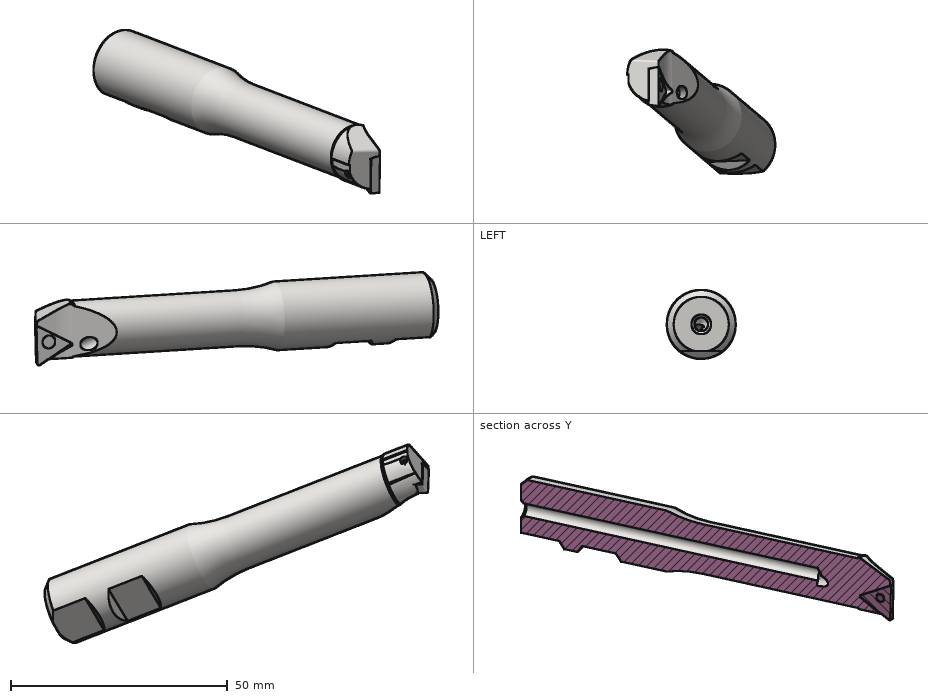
import cadquery as cq
import math

LENGTH = 95.0

SHANK_RADIUS = 8.0
SHANK_END = 37.3
SHANK_CHAMFER = 1.6
NECK_DIAMETER = 13.0
NECK_RADIUS = NECK_DIAMETER / 2
NECK_START = 46.55
NECK_END = 86.3
HEAD_RADIUS = 6.7
HEAD_START = 86.8

FLAT_HEIGHT = -6.2
FLAT_RAMP = 1.3
REAR_FLAT_END = 9.8
FRONT_FLAT_START = 15.8
FRONT_FLAT_END = 24.3

BORE_DIAMETER = 3.1
BORE_RADIUS = BORE_DIAMETER / 2
BORE_MOUTH_RADIUS = 2.3
BORE_DEPTH = 76.0
DRILL_POINT_ANGLE = 118.0
OUTLET_RADIUS = 1.5
OUTLET_START = cq.Vector(BORE_DEPTH, 0.4, -1.4)
OUTLET_DIRECTION = cq.Vector(1.0, 0.5, -0.2)
OUTLET_LENGTH = 19.0

RAKE_Y = 1.0
INSERT_THICKNESS = 2.4
INSCRIBED_DIAMETER = 5.6
INSERT_INRADIUS = INSCRIBED_DIAMETER / 2
NOSE_RADIUS = 0.4
INSERT_TILT = 1.5
INSERT_CLEARANCE = 7.0
POCKET_END_WIDTH = 0.8

GULLET_START = 77.3
GULLET_RUN_END = (HEAD_START, 2.6)
GULLET_ARC_MIDDLE = (88.3, 1.9)
GULLET_FLOOR_START = (90.25, 1.4)

HEAD_END = 94.9
HEAD_END_ANGLE = 13.0
TOP_SLOPE_ANGLE = 28.0
TOP_EDGE_ROUND = 0.8
SIDE_FLAT_Y = -6.5

RELIEF_RISE = 0.3
RELIEF_TURN = 3.0
RELIEF_BOTTOM = -5.6

SCREW_X = 92.1
SCREW_Z = -2.6
SCREW_RADIUS = 0.9
SCREW_TIP_CHAMFER = 0.3
SCREW_TIP_Y = -5.7
SCREW_HEAD_RADIUS = 1.5
SCREW_HEAD_CONE = 0.95

REACH = 2 * SHANK_RADIUS


def slope(angle):
    return math.tan(math.radians(angle))


def turned_bar():
    """Shank, concave taper, neck and slightly thicker head, revolved about X."""
    drop = SHANK_RADIUS - NECK_RADIUS
    taper_length = NECK_START - SHANK_END
    arc_radius = (taper_length**2 + drop**2) / (2 * drop)
    half_angle = math.asin(taper_length / arc_radius) / 2
    arc_middle = (
        NECK_START - arc_radius * math.sin(half_angle),
        NECK_RADIUS + arc_radius * (1 - math.cos(half_angle)),
    )
    profile = (
        cq.Workplane("XZ")
        .lineTo(0, SHANK_RADIUS - SHANK_CHAMFER)
        .lineTo(SHANK_CHAMFER, SHANK_RADIUS)
        .lineTo(SHANK_END, SHANK_RADIUS)
        .threePointArc(arc_middle, (NECK_START, NECK_RADIUS))
        .lineTo(NECK_END, NECK_RADIUS)
        .lineTo(HEAD_START, HEAD_RADIUS)
        .lineTo(LENGTH, HEAD_RADIUS)
        .lineTo(LENGTH, 0)
        .close()
    )
    return profile.revolve(360, (0, 0, 0), (1, 0, 0))


def clamping_flats():
    """Two flat-bottomed notches with sloping ends; the rear one is open at the bar end."""
    ramp_rise = SHANK_RADIUS + FLAT_HEIGHT
    far_ramp = FLAT_RAMP * REACH / ramp_rise
    bottom = FLAT_HEIGHT - REACH
    rear = [
        (0, FLAT_HEIGHT),
        (REAR_FLAT_END, FLAT_HEIGHT),
        (REAR_FLAT_END + far_ramp, bottom),
        (0, bottom),
    ]
    front = [
        (FRONT_FLAT_START, FLAT_HEIGHT),
        (FRONT_FLAT_END, FLAT_HEIGHT),
        (FRONT_FLAT_END + far_ramp, bottom),
        (FRONT_FLAT_START - far_ramp, bottom),
    ]
    rear_cutter = cq.Workplane("XZ").polyline(rear).close().extrude(REACH, both=True)
    front_cutter = cq.Workplane("XZ").polyline(front).close().extrude(REACH, both=True)
    return rear_cutter.union(front_cutter)


def coolant_bore():
    """Blind bore with a countersunk mouth and a drill point, and its outlet."""
    mouth_depth = BORE_MOUTH_RADIUS - BORE_RADIUS
    point_length = BORE_RADIUS / slope(DRILL_POINT_ANGLE / 2)
    bore = (
        cq.Workplane("XZ")
        .lineTo(0, BORE_MOUTH_RADIUS)
        .lineTo(mouth_depth, BORE_RADIUS)
        .lineTo(BORE_DEPTH, BORE_RADIUS)
        .lineTo(BORE_DEPTH + point_length, 0)
        .close()
        .revolve(360, (0, 0, 0), (1, 0, 0))
    )
    outlet = cq.Solid.makeCylinder(
        OUTLET_RADIUS, OUTLET_LENGTH, OUTLET_START, OUTLET_DIRECTION
    )
    return bore.union(cq.Workplane(outlet))


def chip_gullet():
    return (
        cq.Workplane("XY")
        .moveTo(GULLET_START, NECK_RADIUS)
        .lineTo(*GULLET_RUN_END)
        .threePointArc(GULLET_ARC_MIDDLE, GULLET_FLOOR_START)
        .lineTo(LENGTH, RAKE_Y)
        .lineTo(LENGTH, REACH)
        .lineTo(GULLET_START, REACH)
        .close()
        .extrude(REACH, both=True)
    )


def head_envelope():
    """Keeps what lies below the sloping top and behind the slanted end, with their edge rounded."""
    end_top = HEAD_RADIUS - (HEAD_END - HEAD_START) * slope(TOP_SLOPE_ANGLE)
    below_top = (
        cq.Workplane("XZ")
        .polyline(
            [
                (0, -REACH),
                (0, REACH),
                (HEAD_START, REACH),
                (HEAD_START, HEAD_RADIUS),
                (HEAD_END, end_top),
                (HEAD_END, -REACH),
            ]
        )
        .close()
        .extrude(REACH, both=True)
    )
    lean = slope(HEAD_END_ANGLE)
    behind_end = (
        cq.Workplane("XY")
        .polyline(
            [
                (0, -REACH),
                (HEAD_END - (RAKE_Y + REACH) * lean, -REACH),
                (HEAD_END, RAKE_Y),
                (HEAD_END, REACH),
                (0, REACH),
            ]
        )
        .close()
        .extrude(REACH, both=True)
    )
    envelope = below_top.intersect(behind_end)
    edge_point = (HEAD_END - (RAKE_Y + HEAD_RADIUS) * lean, -HEAD_RADIUS, end_top)
    return envelope.edges(cq.NearestToPointSelector(edge_point)).fillet(TOP_EDGE_ROUND)


def side_flat():
    """Shallow flat on the -Y side of the head, from the axis height down to the round surface."""
    return (
        cq.Workplane("XY")
        .box(LENGTH - HEAD_START, REACH, REACH, centered=False)
        .translate((HEAD_START, SIDE_FLAT_Y - REACH, -REACH))
    )


def side_relief():
    """Skims the lower -Y quarter of the head with a round surface that is raised and turned to -Y."""
    head_length = LENGTH - HEAD_START
    turn = math.radians(RELIEF_TURN)
    direction = cq.Vector(math.cos(turn), -math.sin(turn), 0)
    quarter = (
        cq.Workplane("XY")
        .box(head_length, HEAD_RADIUS, -RELIEF_BOTTOM, centered=False)
        .translate((HEAD_START, -HEAD_RADIUS, RELIEF_BOTTOM))
    )
    kept = cq.Solid.makeCylinder(
        HEAD_RADIUS,
        LENGTH,
        cq.Vector(HEAD_START, 0, RELIEF_RISE) - direction * (LENGTH / 2),
        direction,
    )
    return quarter.cut(cq.Workplane(kept))


def insert_blank(start_y, height, taper):
    """Triangle with rounded noses, extruded towards -Y, or +Y for a negative height."""
    side = 2 * math.sqrt(3) * (INSERT_INRADIUS - NOSE_RADIUS)
    tilt = math.radians(INSERT_TILT)
    upper_x = LENGTH - NOSE_RADIUS
    lower_x = upper_x - side * math.sin(tilt)
    lower_z = NOSE_RADIUS - SHANK_RADIUS
    inward = math.radians(150) - tilt
    centres = [
        (lower_x, lower_z),
        (upper_x, lower_z + side * math.cos(tilt)),
        (lower_x + side * math.cos(inward), lower_z + side * math.sin(inward)),
    ]
    return (
        cq.Workplane("XZ", origin=(0, start_y, 0))
        .polyline(centres)
        .close()
        .offset2D(NOSE_RADIUS, "arc")
        .extrude(height, taper=taper)
    )


def insert_pocket(seated_insert):
    """Room for the insert: its own shape, open upwards to +Y and past its end edge near the tip."""
    above = insert_blank(RAKE_Y, -REACH, 0)
    past_edge = (
        cq.Workplane("XY")
        .box(POCKET_END_WIDTH, REACH, REACH, centered=False)
        .translate((LENGTH - POCKET_END_WIDTH, RAKE_Y - INSERT_THICKNESS, SCREW_Z - REACH))
    )
    return seated_insert.union(above).union(past_edge)


def clamping_screw():
    """Countersunk screw: its head is flush with the rake face, its chamfered tip points to -Y."""
    return (
        cq.Workplane("XY", origin=(SCREW_X, 0, SCREW_Z))
        .moveTo(0, RAKE_Y)
        .lineTo(SCREW_HEAD_RADIUS, RAKE_Y)
        .lineTo(SCREW_RADIUS, RAKE_Y - SCREW_HEAD_CONE)
        .lineTo(SCREW_RADIUS, SCREW_TIP_Y + SCREW_TIP_CHAMFER)
        .lineTo(SCREW_RADIUS - SCREW_TIP_CHAMFER, SCREW_TIP_Y)
        .lineTo(0, SCREW_TIP_Y)
        .close()
        .revolve(360, (0, 0, 0), (0, 1, 0))
    )


def screw_hole():
    """Hole for the screw shank, open on the -Y side of the head."""
    return (
        cq.Workplane("XZ", origin=(SCREW_X, RAKE_Y, SCREW_Z))
        .circle(SCREW_RADIUS)
        .extrude(REACH)
    )


screw = clamping_screw()
seated_insert = insert_blank(RAKE_Y, INSERT_THICKNESS, INSERT_CLEARANCE)
cutting_insert = seated_insert.cut(screw)

bar = (
    turned_bar()
    .cut(clamping_flats())
    .cut(chip_gullet())
    .cut(coolant_bore())
    .intersect(head_envelope())
    .cut(side_flat())
    .cut(side_relief())
    .cut(insert_pocket(seated_insert))
    .cut(screw_hole())
)

result = cq.Compound.makeCompound([bar.solids().val(), cutting_insert.solids().val(), screw.val()])